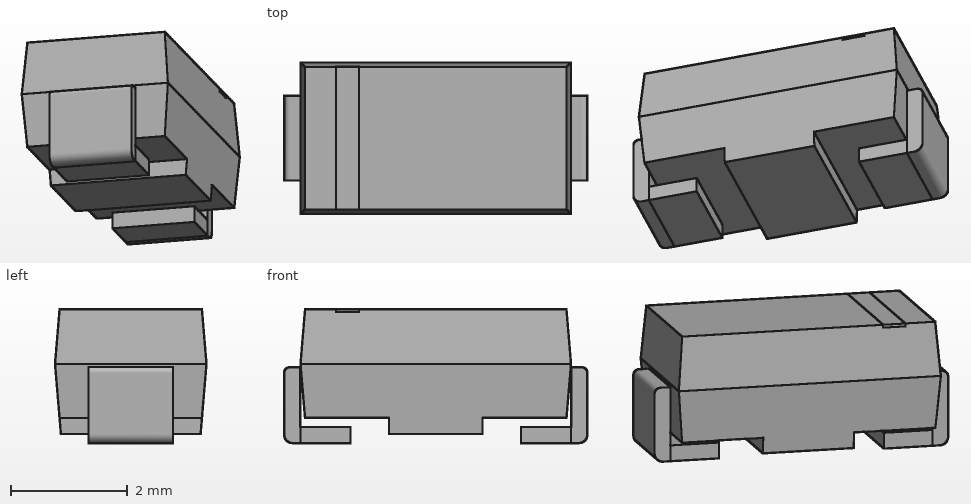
import cadquery as cq

OVERALL_LENGTH = 5.2
OVERALL_HEIGHT = 2.3
BODY_WIDTH = 2.6
PARTING_Z = 1.36
DRAFT_ANGLE = 4.8
LOWER_BODY_BOTTOM_Z = 0.435

STANDOFF_LENGTH = 1.61
STANDOFF_CLEARANCE = 0.155

BAND_WIDTH = 0.393
BAND_DEPTH = 0.05
BAND_CENTRE_X = -1.515

LEAD_THICKNESS = 0.28
LEAD_WIDTH = 1.455
PLATE_HEIGHT = 1.305
PLATE_TOP_RADIUS = 0.1
PLATE_BOTTOM_RADIUS = 0.15
FOOT_LENGTH = 0.86

BODY_LENGTH = OVERALL_LENGTH - 2 * LEAD_THICKNESS
UPPER_BODY_HEIGHT = OVERALL_HEIGHT - PARTING_Z


def drafted_block(height):
    """Block that narrows away from the parting plane; a negative height runs downwards."""
    return (
        cq.Workplane("XY", origin=(0, 0, PARTING_Z))
        .rect(BODY_LENGTH, BODY_WIDTH)
        .extrude(height, taper=DRAFT_ANGLE)
    )


def make_band_groove():
    """Cutter for the shallow groove that crosses the full width of the top face."""
    return cq.Workplane("XY", origin=(BAND_CENTRE_X, 0, OVERALL_HEIGHT)).box(
        BAND_WIDTH, BODY_WIDTH, 2 * BAND_DEPTH
    )


def make_polarity_band():
    """Strip that fills the groove, flush with the top face and the drafted sides."""
    return drafted_block(UPPER_BODY_HEIGHT).intersect(make_band_groove())


def make_upper_body():
    """Upper moulding with the groove for the band, open at both ends."""
    return drafted_block(UPPER_BODY_HEIGHT).cut(make_band_groove())


def make_lower_body():
    """Lower moulding whose drafted long sides run on down the standoff."""
    full_depth = drafted_block(STANDOFF_CLEARANCE - PARTING_Z)
    relief_length = (BODY_LENGTH - STANDOFF_LENGTH) / 2
    relief_centre_x = (STANDOFF_LENGTH + relief_length) / 2
    reliefs = (
        cq.Workplane("XY")
        .pushPoints([(-relief_centre_x, 0), (relief_centre_x, 0)])
        .rect(relief_length, BODY_WIDTH)
        .extrude(LOWER_BODY_BOTTOM_Z)
    )
    return full_depth.cut(reliefs)


def make_lead_plate(side):
    """Upright plate at the -X (side = -1) or +X (side = 1) end, rounded on its outer edges."""
    outer_face = "<X" if side < 0 else ">X"
    centre_x = side * (OVERALL_LENGTH - LEAD_THICKNESS) / 2
    plate = cq.Workplane("XY", origin=(centre_x, 0, 0)).box(
        LEAD_THICKNESS, LEAD_WIDTH, PLATE_HEIGHT, centered=(True, True, False)
    )
    plate = plate.faces(outer_face).edges(">Z").fillet(PLATE_TOP_RADIUS)
    return plate.faces("<Z").edges(outer_face).fillet(PLATE_BOTTOM_RADIUS)


def make_lead_foot(side):
    """Flat foot running inwards from the plate on the mounting plane."""
    centre_x = side * (BODY_LENGTH - FOOT_LENGTH) / 2
    return cq.Workplane("XY", origin=(centre_x, 0, 0)).box(
        FOOT_LENGTH, LEAD_WIDTH, LEAD_THICKNESS, centered=(True, True, False)
    )


upper_body = make_upper_body()
lower_body = make_lower_body()
polarity_band = make_polarity_band()

lead_plates = []
lead_feet = []
for end in (-1, 1):
    lead_plates.append(make_lead_plate(end).val())
    lead_feet.append(make_lead_foot(end).val())

result = cq.Compound.makeCompound(
    [upper_body.val(), lower_body.val(), polarity_band.val(), *lead_plates, *lead_feet]
)